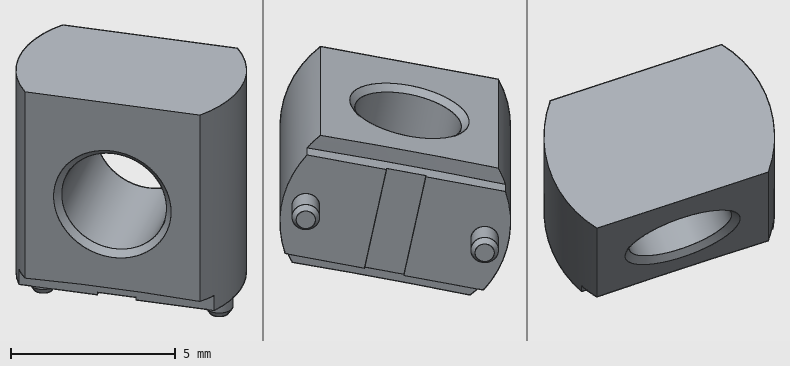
import cadquery as cq

body_diameter = 7.0
body_height = 7.0
body_thickness = 4.33

hole_diameter = 3.3
hole_chamfer = 0.2
hole_height = body_height / 2

foot_thickness = 3.36
shoulder_edge_height = 0.5
shoulder_middle_height = 0.58

groove_width = 1.22
groove_depth = 0.09

pin_diameter = 0.84
pin_length = 1.0
pin_spacing = 5.54
pin_tip_height = 0.2
pin_tip_inset = 0.13


def make_body():
    cylinder = cq.Workplane("XY").circle(body_diameter / 2).extrude(body_height)
    slab = cq.Workplane("XY").box(
        body_diameter, body_thickness, body_height, centered=(True, True, False)
    )
    return cylinder.intersect(slab)


def make_cross_hole():
    """Through hole along Y with a conical flare at each flat."""
    half_thickness = body_thickness / 2
    hole_radius = hole_diameter / 2
    mouth_radius = hole_radius + hole_chamfer
    return (
        cq.Workplane("XY")
        .moveTo(0, -half_thickness)
        .lineTo(mouth_radius, -half_thickness)
        .lineTo(hole_radius, -half_thickness + hole_chamfer)
        .lineTo(hole_radius, half_thickness - hole_chamfer)
        .lineTo(mouth_radius, half_thickness)
        .lineTo(0, half_thickness)
        .close()
        .revolve(360, (0, 0), (0, 1))
        .translate((0, 0, hole_height))
    )


def make_shoulder_cuts():
    """Arched-top blocks that leave the foot between them."""
    half_width = body_diameter / 2
    arched_bar = (
        cq.Workplane("XZ")
        .moveTo(-half_width, 0)
        .lineTo(-half_width, shoulder_edge_height)
        .threePointArc((0, shoulder_middle_height), (half_width, shoulder_edge_height))
        .lineTo(half_width, 0)
        .close()
        .extrude(body_thickness / 2, both=True)
    )
    foot = cq.Workplane("XY").box(body_diameter, foot_thickness, body_height)
    return arched_bar.cut(foot)


def make_groove():
    return cq.Workplane("XY").box(
        groove_width, body_thickness, groove_depth, centered=(True, True, False)
    )


def make_pin(x):
    """Pin that starts inside the foot and ends in a tapered tip."""
    radius = pin_diameter / 2
    pin_root = shoulder_edge_height
    return (
        cq.Workplane("XZ")
        .moveTo(0, pin_root)
        .lineTo(radius, pin_root)
        .lineTo(radius, -pin_length + pin_tip_height)
        .lineTo(radius - pin_tip_inset, -pin_length)
        .lineTo(0, -pin_length)
        .close()
        .revolve(360, (0, 0), (0, 1))
        .translate((x, 0, 0))
    )


result = make_body().cut(make_cross_hole()).cut(make_shoulder_cuts()).cut(make_groove())
for side in (-1, 1):
    result = result.union(make_pin(side * pin_spacing / 2))